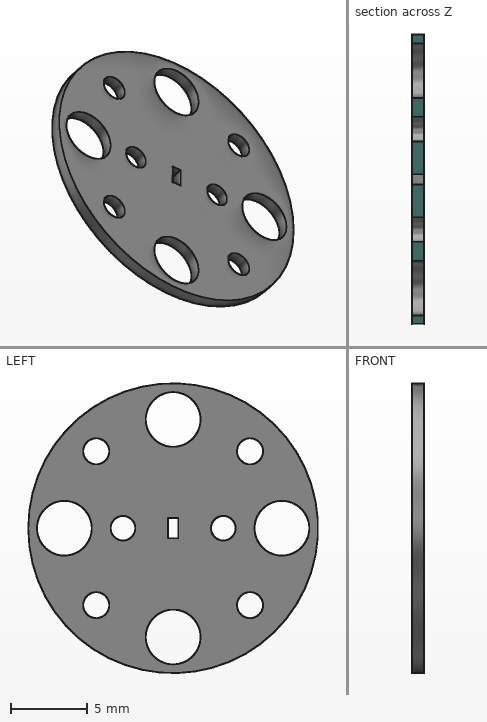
import cadquery as cq

disc_diameter = 19.05
disc_thickness = 0.82

hole_circle_radius = 7.15
holes_per_set = 4
large_hole_diameter = 3.58
small_hole_diameter = 1.7
small_hole_start_angle = 45

pair_hole_diameter = 1.6
pair_hole_offset = 3.3

slot_width = 0.65
slot_height = 1.31


def back_face_plane():
    """Sketch plane on the -X face of the disc."""
    return cq.Workplane("YZ", origin=(-disc_thickness / 2, 0, 0))


def hole_ring(diameter, start_angle):
    """Cutters for one set of evenly spaced holes on the hole circle."""
    return (
        back_face_plane()
        .polarArray(hole_circle_radius, start_angle, 360, holes_per_set)
        .circle(diameter / 2)
        .extrude(disc_thickness)
    )


def hole_pair():
    """Cutters for the two holes beside the slot."""
    return (
        back_face_plane()
        .pushPoints([(-pair_hole_offset, 0), (pair_hole_offset, 0)])
        .circle(pair_hole_diameter / 2)
        .extrude(disc_thickness)
    )


disc = back_face_plane().circle(disc_diameter / 2).extrude(disc_thickness)
slot = cq.Workplane("XY").box(disc_thickness, slot_width, slot_height)

result = (
    disc
    .cut(hole_ring(large_hole_diameter, 0))
    .cut(hole_ring(small_hole_diameter, small_hole_start_angle))
    .cut(hole_pair())
    .cut(slot)
)